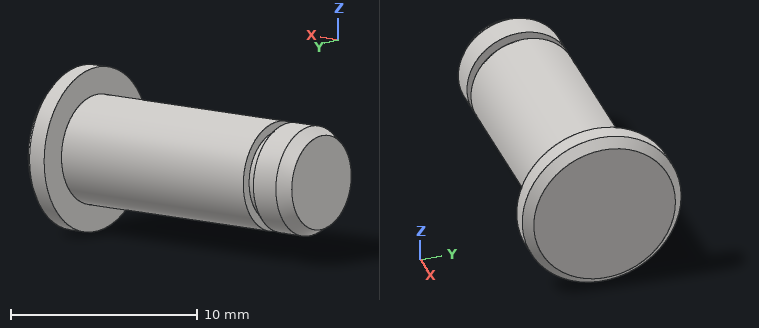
import cadquery as cq
import math

total_length = 17.0
shank_diameter = 6.0
head_diameter = 9.0
head_thickness = 1.5
head_chamfer = 0.5

groove_diameter = 5.0
groove_width = 0.7
groove_end = 3.0

tip_chamfer_length = 0.75
tip_chamfer_angle = 30.0
tip_chamfer_depth = tip_chamfer_length * math.tan(math.radians(tip_chamfer_angle))


def cylinder_along_x(start, length, diameter):
    return cq.Workplane("YZ").workplane(offset=start).circle(diameter / 2).extrude(length)


def make_shank():
    shank_length = total_length - head_thickness
    shank = cylinder_along_x(0, shank_length, shank_diameter)
    return shank.faces("<X").chamfer(tip_chamfer_length, tip_chamfer_depth)


def make_head():
    head = cylinder_along_x(total_length - head_thickness, head_thickness, head_diameter)
    return head.faces(">X").chamfer(head_chamfer)


def make_groove_ring():
    groove_start = groove_end - groove_width
    outer = cylinder_along_x(groove_start, groove_width, head_diameter)
    core = cylinder_along_x(groove_start, groove_width, groove_diameter)
    return outer.cut(core)


result = make_shank().cut(make_groove_ring()).union(make_head())